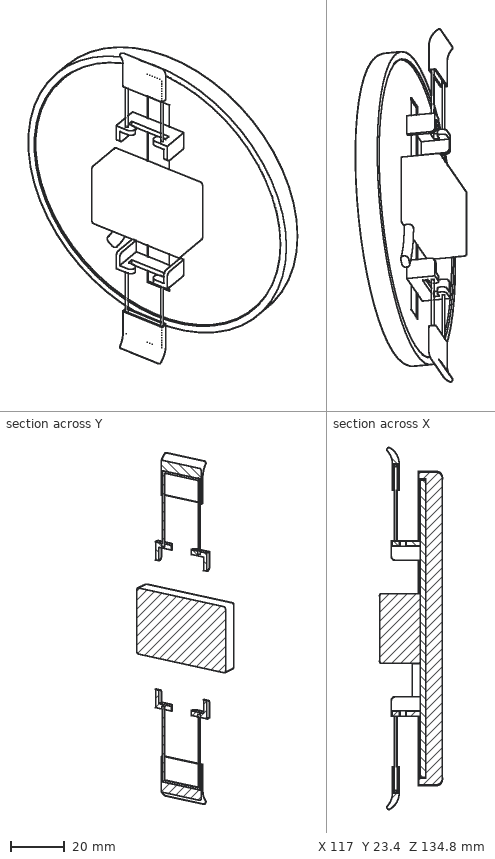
import cadquery as cq
import math


overall_length = 134.8

shell_diameter = 117.0
shell_depth = 9.0
shell_edge_radius = 2.5
pocket_diameter = 111.5

panel_diameter = 111.0
panel_thickness = 2.0
panel_back_y = 0.7
slot_width = 10.0
slot_length = 84.9
slot_depth = 0.7

box_width = 40.0
box_height = 26.1
box_back_y = -14.4
box_edge_radius = 1.0
lead_width = 5.0
lead_thickness = 3.0
lead_start_x = -14.3
lead_bend_radius = 26.4
lead_bend_angle = 37.5

bracket_width = 23.2
bracket_back_y = -10.1
bracket_outer_z = 32.6
shelf_thickness = 2.0
ear_length = 7.3
ear_thickness = 1.6
ear_corner_radius = 1.6
tongue_thickness = 3.5
tongue_gap = 8.9
tongue_tip_length = 1.5
undercut_width = 16.7
undercut_floor_y = -4.6

wire_diameter = 1.0
wire_spacing = 16.0
wire_seat_depth = 1.1
wire_y = bracket_back_y + tongue_thickness / 2

pad_width = 18.0
pad_thickness = 2.7
pad_start_z = 51.3
pad_edge_radius = 0.5
lip_start_z = 61.2
lip_outer_reach = 4.0
lip_outer_z = 67.5
lip_inner_reach = 2.3
lip_inner_z = 66.4


def box_between(x_range, y_range, z_range):
    """Axis-aligned block given by its limits along X, Y and Z."""
    (x0, x1), (y0, y1), (z0, z1) = x_range, y_range, z_range
    return cq.Workplane("XY").box(x1 - x0, y1 - y0, z1 - z0, centered=False).translate((x0, y0, z0))


def disc(diameter, y_start, thickness):
    """Round disc about the Y axis that grows from y_start toward +Y."""
    return cq.Workplane("XZ", origin=(0, y_start, 0)).circle(diameter / 2).extrude(-thickness)


def make_shell():
    shell = disc(shell_diameter, 0, shell_depth).faces(">Y").edges().fillet(shell_edge_radius)
    return shell.cut(disc(pocket_diameter, 0, panel_back_y + panel_thickness))


def make_panel():
    slot = box_between(
        (-slot_width / 2, slot_width / 2),
        (panel_back_y, panel_back_y + slot_depth),
        (-slot_length / 2, slot_length / 2),
    )
    return disc(panel_diameter, panel_back_y, panel_thickness).cut(slot)


def make_lead():
    """Flat lead with round sides that leaves the box downward and bends toward -X."""
    start_z = -box_height / 2
    return (
        cq.Workplane("XY", origin=(lead_start_x, panel_back_y - lead_thickness / 2, start_z))
        .slot2D(lead_width, lead_thickness)
        .revolve(lead_bend_angle, (-lead_bend_radius, 0, 0), (-lead_bend_radius, 1, 0))
    )


def make_driver():
    case = box_between(
        (-box_width / 2, box_width / 2),
        (box_back_y, panel_back_y),
        (-box_height / 2, box_height / 2),
    )
    case = case.edges("|Y").fillet(box_edge_radius).faces("<Y").edges().fillet(box_edge_radius)
    return case.union(make_lead())


def make_wire():
    """U-shaped wire: two legs seated in the bracket, joined by a bar at the end of the pad's pocket."""
    bar_z = lip_start_z - wire_diameter / 2
    leg_x = wire_spacing / 2
    leg_start_z = bracket_outer_z - wire_seat_depth
    path = (
        cq.Workplane("XZ", origin=(0, wire_y, 0))
        .moveTo(-leg_x, leg_start_z)
        .lineTo(-leg_x, bar_z)
        .lineTo(leg_x, bar_z)
        .lineTo(leg_x, leg_start_z)
    )
    section = cq.Workplane("XY", origin=(-leg_x, wire_y, leg_start_z)).circle(wire_diameter / 2)
    return section.sweep(path, transition="right")


def make_bracket():
    half_width = bracket_width / 2
    depth_range = (bracket_back_y, panel_back_y)
    shelf_inner_z = bracket_outer_z - shelf_thickness
    shelf_range = (shelf_inner_z, bracket_outer_z)

    bracket = box_between((-half_width, half_width), depth_range, shelf_range)
    undercut = box_between(
        (-undercut_width / 2, undercut_width / 2), (bracket_back_y, undercut_floor_y), shelf_range
    )
    bracket = bracket.cut(undercut)

    for side in (-1, 1):
        ear_x = sorted((side * half_width, side * (half_width - ear_thickness)))
        ear = box_between(ear_x, depth_range, (bracket_outer_z - ear_length, bracket_outer_z))
        ear = ear.edges("|X and <Y and <Z").fillet(ear_corner_radius)

        tip_x = side * tongue_gap / 2
        tip_base_x = tip_x + side * tongue_tip_length
        tongue_front_y = bracket_back_y + tongue_thickness
        tongue = (
            cq.Workplane("XY", origin=(0, 0, shelf_inner_z))
            .moveTo(side * half_width, bracket_back_y)
            .lineTo(tip_base_x, bracket_back_y)
            .threePointArc((tip_x, wire_y), (tip_base_x, tongue_front_y))
            .lineTo(side * half_width, tongue_front_y)
            .close()
            .extrude(shelf_thickness)
        )
        bracket = bracket.union(ear).union(tongue)

    return bracket.cut(make_wire())


def lip_inner_middle(inner_y):
    """Middle of the inner lip arc, which starts tangent to the flat face at inner_y."""
    rise = lip_inner_z - lip_start_z
    radius = (rise**2 + lip_inner_reach**2) / (2 * lip_inner_reach)
    half_angle = math.asin(rise / radius) / 2
    return (inner_y - radius * (1 - math.cos(half_angle)), lip_start_z + radius * math.sin(half_angle))


def make_pad():
    """Pad with a straight hollow sleeve over the wire and a lip curled toward -Y."""
    outer_y = wire_y + pad_thickness / 2
    inner_y = wire_y - pad_thickness / 2
    pad = (
        cq.Workplane("YZ", origin=(-pad_width / 2, 0, 0))
        .moveTo(outer_y, pad_start_z)
        .lineTo(outer_y, lip_start_z)
        .tangentArcPoint((outer_y - lip_outer_reach, lip_outer_z), relative=False)
        .lineTo(inner_y - lip_inner_reach, lip_inner_z)
        .threePointArc(lip_inner_middle(inner_y), (inner_y, lip_start_z))
        .lineTo(inner_y, pad_start_z)
        .close()
        .extrude(pad_width)
    )
    pad = pad.edges("not <Z").fillet(pad_edge_radius)

    tip_z = pad.val().BoundingBox().zmax
    pad = pad.translate((0, 0, overall_length / 2 - tip_z))

    pocket_width = wire_spacing + wire_diameter
    wall = (pad_width - pocket_width) / 2
    pocket = box_between(
        (-pocket_width / 2, pocket_width / 2),
        (inner_y + wall, outer_y - wall),
        (bracket_outer_z, lip_start_z),
    )
    return pad.cut(pocket)


def upper_and_lower(body):
    """The body in its upper place and its mirror image below the middle."""
    return [body.val(), body.mirror("XY").val()]


shell = make_shell()
panel = make_panel()
driver = make_driver()
brackets = upper_and_lower(make_bracket())
wires = upper_and_lower(make_wire())
pads = upper_and_lower(make_pad())

result = cq.Compound.makeCompound(
    [shell.val(), panel.val(), driver.val(), *brackets, *wires, *pads]
)